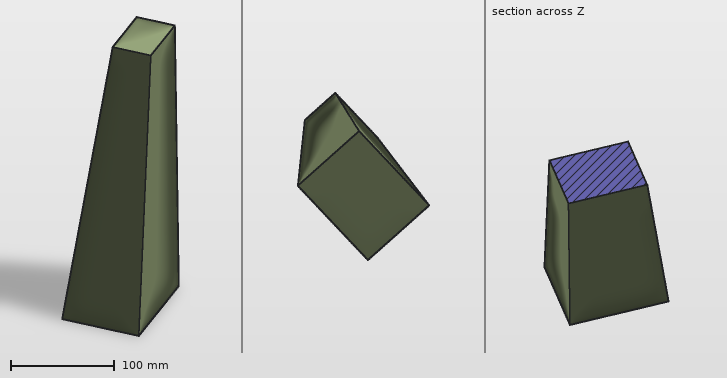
import cadquery as cq

base_x = 80.0
base_y = 100.0
height = 300.0

left_inset = 40.2
front_inset = 30.0
back_inset = 10.0

top_x = base_x - left_inset
top_y = base_y - front_inset - back_inset

result = (
    cq.Workplane("XY")
    .rect(base_x, base_y, centered=False)
    .workplane(offset=height)
    .moveTo(left_inset, front_inset)
    .rect(top_x, top_y, centered=False)
    .loft(ruled=True, combine=True)
)